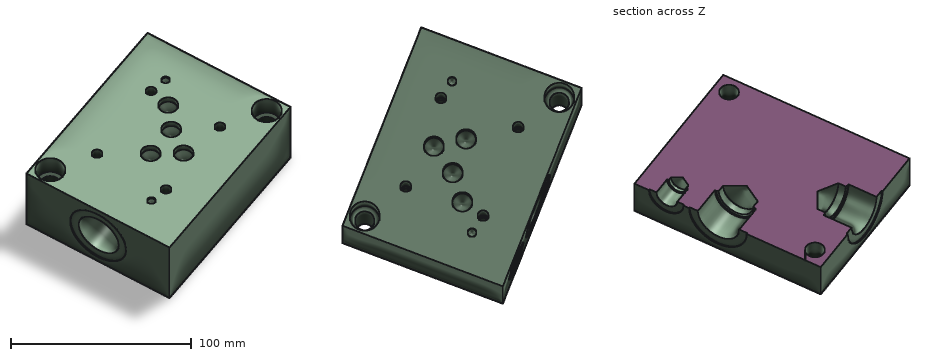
import cadquery as cq
import math

length_x = 95.2
length_y = 120.6
height = 44.4
mid_height = height / 2

mount_diameter = 10.7
mount_bore_diameter = 16.6
mount_bore_depth = 12.1
mount_inset = 9.5

drill_point_angle = 118.0
passage_diameter = 11.1
passage_depth = 3.9
passage_points = [(-9.4, 23.8), (1.6, 10.3), (16.6, 0), (1.6, -10.3)]
screw_diameter = 6.0
screw_drill_diameter = 5.0
screw_depth = 12.1
screw_drill_depth = 16.9
screw_x = 22.9
screw_y = 26.9
pin_diameter = 4.8
pin_depth = 1.2
pin_x = 20.6
pin_y = 38.0

spotface_depth = 0.7
large_spotface_diameter = 37.2
large_bore_diameter = 26.5
large_bore_depth = 18.8
large_sink_diameter = 24.4
large_drill_diameter = 22.2
large_drill_depth = 24.1
large_side_y = 6.3
small_spotface_diameter = 22.2
small_bore_diameter = 13.3
small_bore_depth = 12.1
small_sink_diameter = 11.7
small_drill_diameter = 11.1
small_drill_depth = 14.5
small_side_y = 39.7


def point_height(diameter):
    """Height of a drill point cone of the given base diameter."""
    return diameter / 2 / math.tan(math.radians(drill_point_angle / 2))


def drilled_hole(profile):
    """Solid cutter along -Z from the origin, pointed at its end.

    profile lists (diameter, depth) pairs from the mouth to the full-diameter bottom.
    """
    last_diameter, last_depth = profile[-1]
    outline = [(0, 0)]
    outline += [(diameter / 2, -depth) for diameter, depth in profile]
    outline.append((0, -last_depth - point_height(last_diameter)))
    return cq.Workplane("XZ").polyline(outline).close().revolve(360, (0, 0, 0), (0, 1, 0))


def port(spotface, bore, bore_depth, sink, drill, drill_depth):
    """Cutter for a spotfaced threaded bore with a countersunk tap drill in its floor."""
    sink_depth = bore_depth + point_height(sink) - point_height(drill)
    return drilled_hole([
        (spotface, 0),
        (spotface, spotface_depth),
        (bore, spotface_depth),
        (bore, bore_depth),
        (sink, bore_depth),
        (drill, sink_depth),
        (drill, drill_depth),
    ])


def on_left_face(cutter, y):
    return cutter.rotate((0, 0, 0), (0, 1, 0), -90).translate((-length_x / 2, y, mid_height))


def on_front_face(cutter):
    return cutter.rotate((0, 0, 0), (1, 0, 0), 90).translate((0, -length_y / 2, mid_height))


result = cq.Workplane("XY").box(length_x, length_y, height, centered=(True, True, False))

mount_x = length_x / 2 - mount_inset
mount_y = length_y / 2 - mount_inset
result = (
    result.faces(">Z").workplane(origin=(0, 0, height))
    .pushPoints([(-mount_x, -mount_y), (mount_x, mount_y)])
    .cboreHole(mount_diameter, mount_bore_diameter, mount_bore_depth)
)

passage = drilled_hole([(passage_diameter, 0), (passage_diameter, passage_depth)])
screw_hole = drilled_hole([
    (screw_diameter, 0),
    (screw_diameter, screw_depth),
    (screw_drill_diameter, screw_depth),
    (screw_drill_diameter, screw_drill_depth),
])
pin_hole = drilled_hole([(pin_diameter, 0), (pin_diameter, pin_depth)])
for x, y in passage_points:
    result = result.cut(passage.translate((x, y, height)))
for x in (-screw_x, screw_x):
    for y in (-screw_y, screw_y):
        result = result.cut(screw_hole.translate((x, y, height)))
for x, y in [(-pin_x, pin_y), (pin_x, -pin_y)]:
    result = result.cut(pin_hole.translate((x, y, height)))

large_port = port(
    large_spotface_diameter, large_bore_diameter, large_bore_depth,
    large_sink_diameter, large_drill_diameter, large_drill_depth,
)
small_port = port(
    small_spotface_diameter, small_bore_diameter, small_bore_depth,
    small_sink_diameter, small_drill_diameter, small_drill_depth,
)
result = result.cut(on_left_face(large_port, large_side_y))
result = result.cut(on_left_face(small_port, small_side_y))
result = result.cut(on_front_face(large_port))